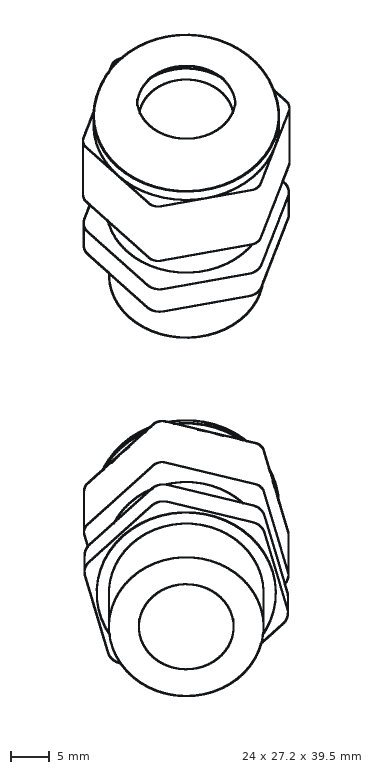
import cadquery as cq
import math

total_height = 39.5
across_flats = 24.0

thread_length = 10.0
flange_top = 14.97
cap_hex_bottom = 21.35
cap_hex_top = 33.45
collar_top = 35.3

thread_radius = 10.0
neck_radius = 10.35
washer_face_radius = 11.57
washer_face_height = 0.1
collar_radius = across_flats / 2
dome_radius = 11.93
rim_radius = 8.18

flange_corner_radius = 2.17
cap_turned_diameter = 27.2
cap_corner_rounding = 1.1

bore_radius = 6.12
mouth_radius = 6.35
mouth_rounding = 0.5
cavity_radius = 9.1
cavity_top = 37.55
cavity_floor = 34.95
seat_radius = 7.85
seat_depth = 0.1


def cylinder(radius, bottom, top):
    """Upright cylinder on the Z axis between two levels."""
    return cq.Workplane("XY").workplane(offset=bottom).circle(radius).extrude(top - bottom)


def hexagon(bottom, top):
    """Sharp hexagonal prism with two flats facing -X and +X."""
    across_corners = across_flats / math.cos(math.pi / 6)
    return (
        cq.Workplane("XY")
        .workplane(offset=bottom)
        .transformed(rotate=(0, 0, 90))
        .polygon(6, across_corners)
        .extrude(top - bottom)
    )


def gland_body():
    """Threaded end, flange hexagon with its washer face, and neck."""
    thread = cylinder(thread_radius, 0, thread_length)
    washer_face = cylinder(washer_face_radius, thread_length - washer_face_height, thread_length)
    flange = hexagon(thread_length, flange_top).edges("|Z").fillet(flange_corner_radius)
    neck = cylinder(neck_radius, flange_top, cap_hex_bottom)
    return thread.union(washer_face).union(flange).union(neck)


def dome():
    """Dome rising vertically from the collar and curving in to the flat rim around the mouth."""
    rise = total_height - collar_top
    inset = dome_radius - rim_radius
    arc_radius = (rise**2 + inset**2) / (2 * inset)
    return (
        cq.Workplane("XZ")
        .moveTo(0, collar_top)
        .lineTo(dome_radius, collar_top)
        .radiusArc((rim_radius, total_height), -arc_radius)
        .lineTo(0, total_height)
        .close()
        .revolve(360, (0, 0, 0), (0, 1, 0))
    )


def cap_nut():
    """Hexagon with turned-down corners, collar and dome of the clamping nut."""
    turned_blank = cylinder(cap_turned_diameter / 2, cap_hex_bottom, cap_hex_top)
    grip = hexagon(cap_hex_bottom, cap_hex_top).intersect(turned_blank)
    grip = grip.edges("|Z").fillet(cap_corner_rounding)
    collar = cylinder(collar_radius, cap_hex_top, collar_top)
    return grip.union(collar).union(dome())


def stepped_bore():
    """Through bore, shallow seat, inner cavity and round-edged mouth, revolved about Z."""
    seat_floor = cavity_floor - seat_depth
    return (
        cq.Workplane("XZ")
        .lineTo(bore_radius, 0)
        .lineTo(bore_radius, seat_floor)
        .lineTo(seat_radius, seat_floor)
        .lineTo(seat_radius, cavity_floor)
        .lineTo(cavity_radius, cavity_floor)
        .lineTo(cavity_radius, cavity_top)
        .lineTo(mouth_radius, cavity_top)
        .lineTo(mouth_radius, total_height - mouth_rounding)
        .radiusArc((mouth_radius + mouth_rounding, total_height), mouth_rounding)
        .lineTo(0, total_height)
        .close()
        .revolve(360, (0, 0, 0), (0, 1, 0))
    )


result = gland_body().union(cap_nut()).cut(stepped_bore())